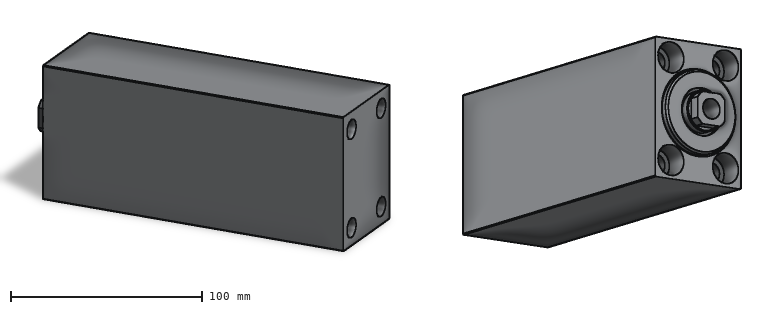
import cadquery as cq
import math


total_length = 187
rod_reach = 12.0
housing_length = total_length - rod_reach
housing_width = 55.0
housing_height = 75.0
housing_edge_chamfer = 0.5

bolt_spacing_y = 35.0
bolt_spacing_z = 55.0
bolt_hole_diameter = 10.7
counterbore_diameter = 16.5
counterbore_depth = 13

gland_diameter = 44.9
gland_seat_depth = 18.7
gland_reach = 3.2
gland_chamfer = 1.1
seat_chamfer = 1.0
wiper_recess_diameter = 25.6
wiper_recess_depth = 2.0

rod_diameter = 22.0
rod_shoulder_reach = 6.0
rod_shoulder_chamfer = 0.5
wrench_end_diameter = 20.5
wrench_flat_width = 17.4
tapped_hole_diameter = 10.8
tapped_hole_depth = 22.5
drill_point_angle = 118


def cylinder(diameter, start_x, end_x):
    """A solid cylinder on the X axis between two X positions."""
    return cq.Workplane("YZ", origin=(start_x, 0, 0)).circle(diameter / 2).extrude(end_x - start_x)


def make_housing():
    """Block with a chamfered blind seat for the gland and four counterbored through holes."""
    block = (
        cq.Workplane("YZ")
        .rect(housing_width, housing_height)
        .extrude(housing_length)
        .edges("|X")
        .chamfer(housing_edge_chamfer)
    )
    drilled = (
        block.faces("<X")
        .workplane(centerOption="CenterOfBoundBox")
        .rect(bolt_spacing_y, bolt_spacing_z, forConstruction=True)
        .vertices()
        .cboreHole(bolt_hole_diameter, counterbore_diameter, counterbore_depth)
    )
    return drilled.cut(make_gland_seat())


def make_gland_seat():
    """Blind seat with a chamfered mouth, as a solid to cut away."""
    radius = gland_diameter / 2
    return (
        cq.Workplane("XY")
        .lineTo(0, radius + seat_chamfer)
        .lineTo(seat_chamfer, radius)
        .lineTo(gland_seat_depth, radius)
        .lineTo(gland_seat_depth, 0)
        .close()
        .revolve(360, (0, 0, 0), (1, 0, 0))
    )


def make_gland():
    """Bush with a chamfered front rim, a rod bore and a wider wiper recess in its front."""
    bush = cylinder(gland_diameter, -gland_reach, gland_seat_depth).faces("<X").chamfer(gland_chamfer)
    bore = cylinder(rod_diameter, -gland_reach, gland_seat_depth)
    recess = cylinder(wiper_recess_diameter, -gland_reach, wiper_recess_depth - gland_reach)
    return bush.cut(bore).cut(recess)


def make_rod():
    """Rod with a chamfered shoulder, a four-flat wrench end and a blind hole in its tip."""
    shaft = (
        cylinder(rod_diameter, -rod_shoulder_reach, gland_seat_depth)
        .faces("<X")
        .chamfer(rod_shoulder_chamfer)
    )
    flats = cq.Workplane("YZ", origin=(-rod_reach, 0, 0)).rect(wrench_flat_width, wrench_flat_width)
    flats = flats.extrude(rod_reach - rod_shoulder_reach)
    wrench_end = cylinder(wrench_end_diameter, -rod_reach, -rod_shoulder_reach).intersect(flats)
    return shaft.union(wrench_end).cut(make_tip_hole())


def make_tip_hole():
    """Blind hole that ends in a drill point, as a solid to cut away."""
    radius = tapped_hole_diameter / 2
    point_length = radius / math.tan(math.radians(drill_point_angle / 2))
    cone_start = tapped_hole_depth - rod_reach
    return (
        cq.Workplane("XY")
        .moveTo(-rod_reach, 0)
        .lineTo(-rod_reach, radius)
        .lineTo(cone_start, radius)
        .lineTo(cone_start + point_length, 0)
        .close()
        .revolve(360, (0, 0, 0), (1, 0, 0))
    )


housing = make_housing()
gland = make_gland()
rod = make_rod()

result = cq.Compound.makeCompound([housing.val(), gland.val(), rod.val()])